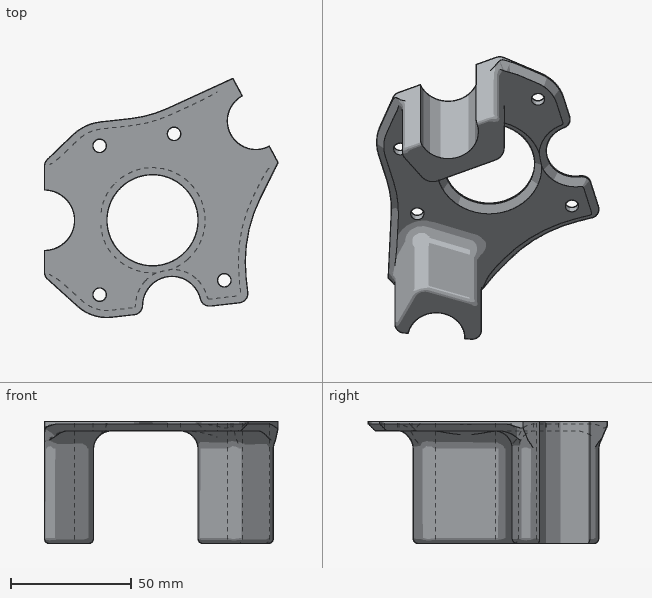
import cadquery as cq
import math


plate_thickness = 4.0
rim_height = 1.0
edge_chamfer = plate_thickness - rim_height
bore_diameter = 37.9
screw_hole_diameter = 5.5
screw_hole_centers = [(-22.0, 31.0), (-22.0, -31.0), (9.0, 36.0), (29.9, -25.0)]

left_end_x = -45.1
arm_tip_upper = (33.5, 59.1)
arm_tip_lower = (52.4, 24.0)

plate_corners = [
    ((left_end_x, 24.1), 0),
    ((-28.3, 40.3), 19.9),
    ((-1.1, 43.3), 49.9),
    (arm_tip_upper, 0),
    (arm_tip_lower, 0),
    ((37.1, -6.6), 59.8),
    ((40.2, -34.0), 4.0),
    ((-25.1, -41.4), 18.0),
    ((left_end_x, -23.3), 0),
]
left_end_corner_radius = 4.0

left_notch = ((left_end_x, 0.0), 12.6)
arm_notch = ((43.1, 41.4), 11.9)
lower_notch = ((8.1, -35.6), 12.2)
lower_notch_corner_radius = 4.0

leg_bottom = -51.0
leg_foot_radius = 2.2
leg_root_radius = 7.5
flared_depth = plate_thickness + leg_root_radius
leg_outer_corner_radius = 4.0
leg_inner_corner_radius = 6.0

left_leg_corners = [(left_end_x, 23.3), (left_end_x, -23.1), (-24.5, -17.4), (-24.5, 17.4)]
arm_leg_corners = [(33.8, 58.6), (52.2, 24.4), (34.4, 18.45), (17.1, 39.2)]

blank_size = 199.5
tolerance = 0.01


def prism(points):
    return cq.Workplane("XY").polyline(points).close().extrude(leg_bottom)


def cylinder(center, radius):
    return cq.Workplane("XY").center(*center).circle(radius).extrude(leg_bottom)


def upright_edges_at(point):
    """Selector for the vertical edge of a prism that passes through a point."""
    x, y = point
    reach = 0.1
    return cq.selectors.BoxSelector((x - reach, y - reach, leg_bottom), (x + reach, y + reach, 0))


def round_corner(body, corner, radius):
    return body.edges(upright_edges_at(corner)).fillet(radius)


def plate_outline():
    """Full-height prism of the plate outline, with the lower notch and its rounded corners."""
    outline = prism([corner for corner, _ in plate_corners])
    for corner, radius in plate_corners:
        if radius:
            outline = round_corner(outline, corner, radius)
    (notch_x, notch_y), notch_radius = lower_notch
    outline = outline.cut(cylinder(*lower_notch))

    def meets_notch(edge):
        middle = edge.Center()
        distance = math.hypot(middle.x - notch_x, middle.y - notch_y)
        return abs(distance - notch_radius) < tolerance

    return outline.edges("|Z").filter(meets_notch).edges().fillet(lower_notch_corner_radius)


def leg(corners):
    outer_corners, inner_corners = corners[:2], corners[2:]
    body = prism(corners)
    for corner in outer_corners:
        body = round_corner(body, corner, leg_outer_corner_radius)
    for corner in inner_corners:
        body = round_corner(body, corner, leg_inner_corner_radius)
    return body.faces("<Z").edges().fillet(leg_foot_radius)


def plate_with_legs():
    """Both legs under an oversized plate, blended into it with a flared root."""
    body = cq.Workplane("XY").rect(blank_size, blank_size).extrude(-plate_thickness)
    for corners in (left_leg_corners, arm_leg_corners):
        body = body.union(leg(corners))

    def is_leg_root(edge):
        box = edge.BoundingBox()
        on_underside = abs(box.zmin + plate_thickness) < tolerance and box.zlen < tolerance
        return on_underside and max(box.xlen, box.ylen) < blank_size / 2

    return body.edges().filter(is_leg_root).edges().fillet(leg_root_radius)


def is_plate_wall(face):
    """True for walls from the mounting face to the flared underside, not the full-height end faces."""
    box = face.BoundingBox()
    return box.zmax > -tolerance and box.zlen > tolerance and box.zmin > -flared_depth


def chamfer_lower_rim(walls):
    """Chamfer the lower edges of the given walls, along the plate and the flared roots."""
    def is_below_top(edge):
        return edge.BoundingBox().zmax < -tolerance

    return walls.edges().filter(is_below_top).edges().chamfer(edge_chamfer)


flared = plate_with_legs()
trimmed = flared.intersect(plate_outline())
trimmed = chamfer_lower_rim(trimmed.faces().filter(is_plate_wall))
bored = flared.cut(cylinder((0, 0), bore_diameter / 2))
bored = chamfer_lower_rim(bored.faces("%CYLINDER").filter(is_plate_wall))
body = trimmed.intersect(bored)

for corner, _ in plate_corners:
    if corner[0] == left_end_x:
        body = round_corner(body, corner, left_end_corner_radius)

for notch in (left_notch, arm_notch):
    body = body.cut(cylinder(*notch))
for center in screw_hole_centers:
    body = body.cut(cylinder(center, screw_hole_diameter / 2))

result = body